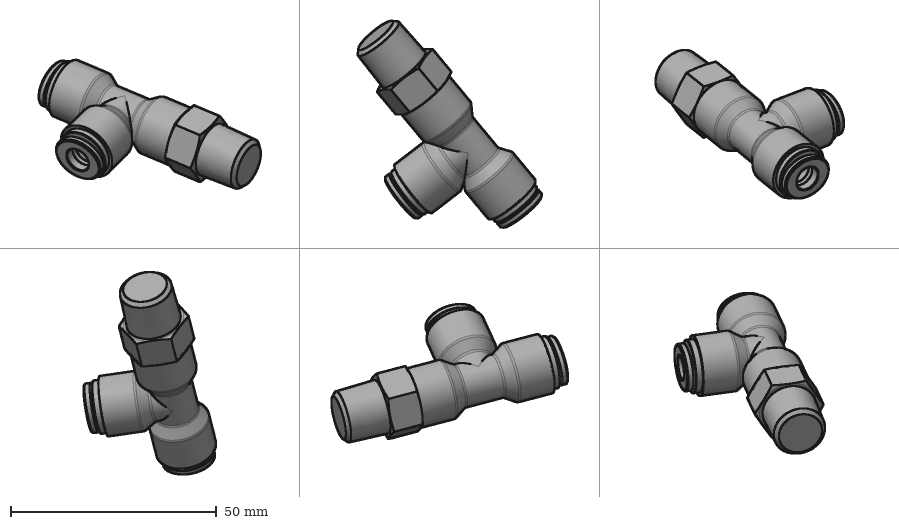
import cadquery as cq
import math


PORT_REACH = 20.95
BODY_DIAMETER = 14.9
NECK_DIAMETER = 10.95
NECK_HALF_LENGTH = 5.0
CONE_LENGTH = 3.1
CONE_FILLET = 1.0
SOCKET_DEPTH = 6.85

FLANGE_WIDTH = 13.0
FLANGE_HEIGHT = 11.15
FLANGE_THICKNESS = 1.6
FLANGE_CHAMFER = 0.35
STEM_DIAMETER = 7.5
STEM_GAP = 0.6
STEM_ENGAGEMENT = 0.3
BORE_DIAMETER = 6.2
BORE_CHAMFER = 0.15
COLLAR_DIAMETER = 13.15
COLLAR_LENGTH = 1.7
COLLAR_CHAMFER = 0.1

HEX_FLATS = 15.0
HEX_START = 16.95
HEX_LENGTH = 8.05
HEX_CHAMFER_LENGTH = 0.35
THREAD_END = 56.95 - PORT_REACH
THREAD_ROOT_DIAMETER = 13.5
THREAD_TAPER = 1 / 16
THREAD_CHAMFER = 1.0

CONE_END = NECK_HALF_LENGTH + CONE_LENGTH
COLLAR_FACE = PORT_REACH - FLANGE_THICKNESS - STEM_GAP
SOCKET_FACE = COLLAR_FACE - COLLAR_LENGTH
STEM_END = COLLAR_FACE - STEM_ENGAGEMENT


def cylinder(diameter, start, end):
    """Cylinder on the +X axis between two distances from the origin."""
    return cq.Workplane("YZ", origin=(start, 0, 0)).circle(diameter / 2).extrude(end - start)


def to_left(solid):
    """Turn a part made along +X to the run port on -X."""
    return solid.rotate((0, 0, 0), (0, 0, 1), 180)


def to_branch(solid):
    """Turn a part made along +X to the branch port on -Y."""
    return solid.rotate((0, 0, 0), (0, 0, 1), -90)


def make_arm(end):
    """Half of the neck, the cone and the full-size barrel, along +X."""
    neck_radius = NECK_DIAMETER / 2
    body_radius = BODY_DIAMETER / 2
    arm = (
        cq.Workplane("XY")
        .moveTo(0, 0)
        .lineTo(0, neck_radius)
        .lineTo(NECK_HALF_LENGTH, neck_radius)
        .lineTo(CONE_END, body_radius)
        .lineTo(end, body_radius)
        .lineTo(end, 0)
        .close()
        .revolve(360, (0, 0, 0), (1, 0, 0))
    )
    cone_ends = cq.selectors.BoxSelector(
        (NECK_HALF_LENGTH - 0.55, -BODY_DIAMETER, -BODY_DIAMETER),
        (CONE_END + 0.55, BODY_DIAMETER, BODY_DIAMETER),
    )
    return arm.edges("%CIRCLE").edges(cone_ends).fillet(CONE_FILLET)


def make_housing():
    """One-piece tee with a blind tube hole in each of its two sockets."""
    socket_arm = make_arm(SOCKET_FACE)
    tube_hole = cylinder(BORE_DIAMETER, SOCKET_FACE - SOCKET_DEPTH, SOCKET_FACE)
    housing = make_arm(HEX_START).union(to_left(socket_arm)).union(to_branch(socket_arm))
    return housing.cut(to_left(tube_hole)).cut(to_branch(tube_hole))


def make_collar():
    """Ring on the socket face, counterbored for the sleeve stem."""
    collar = cylinder(COLLAR_DIAMETER, SOCKET_FACE, COLLAR_FACE)
    collar = collar.faces(">X").edges().chamfer(COLLAR_CHAMFER)
    collar = collar.cut(cylinder(BORE_DIAMETER, SOCKET_FACE, COLLAR_FACE))
    return collar.cut(cylinder(STEM_DIAMETER, STEM_END, COLLAR_FACE))


def make_sleeve():
    """Release sleeve: an elliptical flange, wide across the tee plane, on a hollow stem."""
    flange_start = PORT_REACH - FLANGE_THICKNESS
    flange = (
        cq.Workplane("YZ", origin=(flange_start, 0, 0))
        .ellipse(FLANGE_WIDTH / 2, FLANGE_HEIGHT / 2)
        .extrude(FLANGE_THICKNESS)
    )
    flange = flange.faces(">X").edges().chamfer(FLANGE_CHAMFER)
    sleeve = flange.union(cylinder(STEM_DIAMETER, STEM_END, flange_start))
    sleeve = sleeve.cut(cylinder(BORE_DIAMETER, STEM_END, PORT_REACH))
    return sleeve.faces(">X").edges("%CIRCLE").chamfer(BORE_CHAMFER)


def make_nipple():
    """Hexagon with its corners on Y, both ends coned, and a tapered thread blank on +X."""
    hex_end = HEX_START + HEX_LENGTH
    hex_corners = HEX_FLATS / math.cos(math.pi / 6)
    hexagon = cq.Workplane("YZ", origin=(HEX_START, 0, 0)).polygon(6, hex_corners).extrude(HEX_LENGTH)
    face_radius = HEX_FLATS / 2
    corner_radius = hex_corners / 2
    coned_blank = (
        cq.Workplane("XY")
        .moveTo(HEX_START, 0)
        .lineTo(HEX_START, face_radius)
        .lineTo(HEX_START + HEX_CHAMFER_LENGTH, corner_radius)
        .lineTo(hex_end - HEX_CHAMFER_LENGTH, corner_radius)
        .lineTo(hex_end, face_radius)
        .lineTo(hex_end, 0)
        .close()
        .revolve(360, (0, 0, 0), (1, 0, 0))
    )
    root_radius = THREAD_ROOT_DIAMETER / 2
    taper_end = THREAD_END - THREAD_CHAMFER
    tip_radius = root_radius - (taper_end - hex_end) * THREAD_TAPER / 2
    thread = (
        cq.Workplane("XY")
        .moveTo(hex_end, 0)
        .lineTo(hex_end, root_radius)
        .lineTo(taper_end, tip_radius)
        .lineTo(THREAD_END, tip_radius - THREAD_CHAMFER)
        .lineTo(THREAD_END, 0)
        .close()
        .revolve(360, (0, 0, 0), (1, 0, 0))
    )
    return hexagon.intersect(coned_blank).union(thread)


housing = make_housing()
nipple = make_nipple()
collars = []
sleeves = []
for place_at_port in (to_left, to_branch):
    collars.append(place_at_port(make_collar()).val())
    sleeves.append(place_at_port(make_sleeve()).val())

result = cq.Compound.makeCompound([housing.val(), nipple.val(), *collars, *sleeves])